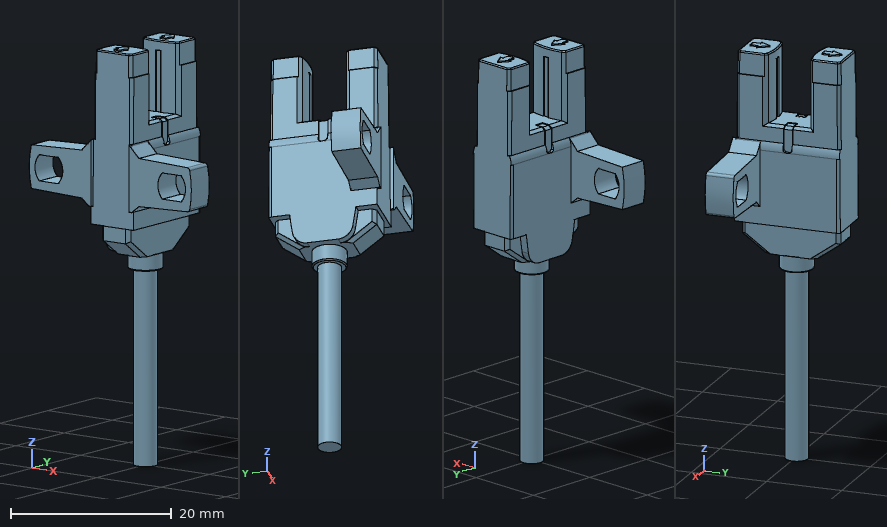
import cadquery as cq
import math


top_height = 53.55
arrow_relief = 0.15
tip_top = top_height - arrow_relief
tip_base = 50.45
fork_floor = 44.3
ledge_top = 42.05
ledge_base = 40.95
body_base = 31.25
clip_shoulder = 29.25
clip_base = 27.05
collar_base = 24.9

body_half_width = 3.3
body_half_depth = 7.0
body_corner_width = 0.15
body_corner_depth = 0.45
post_half_width = 3.0
tip_half_width = 2.85
tip_half_depth = 6.85
outer_chamfer = 0.4
gap_half = 2.5
gap_bulge = 0.3
gap_chamfer = 0.55
tip_gap_chamfer = gap_chamfer - (post_half_width - tip_half_width)
floor_chamfer_drop = 0.3
post_base = fork_floor - floor_chamfer_drop
tip_edge = 0.15

slit_width = 0.75
slit_depth = 0.15
slit_top = 52.1

groove_half_width = 0.6
groove_depth = 0.1
groove_inner_end = 1.35
cut_clearance = 0.55

ear_front = -7.4
ear_back = -3.65
ear_root = 2.95
ear_middle = 37.5
ear_half_span = 12.6
ear_corner = 12.25
ear_tip_half_height = 2.8
ear_knee = 4.45
ear_knee_half_height = 3.05
ear_gusset_base = 33.55
ear_corner_radius = 0.45
slot_center = 9.55
slot_half_length = 2.15
slot_flat_half = 1.45
slot_half_height = 1.65

clip_half_width = 2.2
clip_half_depth = 6.55
clip_bottom_half_depth = 3.5
clip_chamfer = 0.5
tab_top_half_depth = 4.3
tab_bottom_half_depth = 3.65
tab_corner_radius = 1.95
collar_diameter = 4.4
collar_edge = 0.15
cable_diameter = 3.0
cable_x = -0.05

arrow_length = 2.45
arrow_half_width = 0.9
arrow_stem_half = 0.5
arrow_stem_length = 1.0
arrow_centers = (-4.75, 4.75)


def drafted_half_depth(height):
    """Half depth of the tapering front and rear faces at a height."""
    taper = (body_half_depth - tip_half_depth) / (tip_top - body_base)
    return body_half_depth - taper * (height - body_base)


def prong_section(height, half_width, inner_chamfer):
    """Outline of one prong: chamfered corners and a convex inner face."""
    half_depth = drafted_half_depth(height)
    face_half = half_width - outer_chamfer
    inner_half = half_width - inner_chamfer
    inner_corner = gap_half + gap_bulge
    return (
        cq.Workplane("XY", origin=(0, 0, height))
        .moveTo(-face_half, half_depth)
        .lineTo(face_half, half_depth)
        .lineTo(half_width, half_depth - outer_chamfer)
        .lineTo(half_width, inner_corner + inner_chamfer)
        .lineTo(inner_half, inner_corner)
        .threePointArc((0, gap_half), (-inner_half, inner_corner))
        .lineTo(-half_width, inner_corner + inner_chamfer)
        .lineTo(-half_width, half_depth - outer_chamfer)
        .close()
        .wire()
        .val()
    )


def fork_base_section(height):
    """Outline of the fork below its gap: a rectangle with chamfered corners."""
    half_depth = drafted_half_depth(height)
    face_half = post_half_width - outer_chamfer
    side_half = half_depth - outer_chamfer
    return (
        cq.Workplane("XY", origin=(0, 0, height))
        .polyline([
            (-face_half, half_depth),
            (face_half, half_depth),
            (post_half_width, side_half),
            (post_half_width, -side_half),
            (face_half, -half_depth),
            (-face_half, -half_depth),
            (-post_half_width, -side_half),
            (-post_half_width, side_half),
        ])
        .close()
        .wire()
        .val()
    )


def loft(lower, upper):
    """Solid with straight sides between two outlines."""
    return cq.Workplane(cq.Solid.makeLoft([lower, upper], True))


def make_prong():
    """Prong on the +Y side: a post with a slightly narrower tip and a slit."""
    post = loft(
        prong_section(post_base, post_half_width, gap_chamfer),
        prong_section(tip_base, post_half_width, gap_chamfer),
    )
    tip = loft(
        prong_section(tip_base, tip_half_width, tip_gap_chamfer),
        prong_section(tip_top, tip_half_width, tip_gap_chamfer),
    )
    tip = tip.faces(">Z").chamfer(tip_edge)
    slit = cq.Workplane("XY").box(
        slit_width, gap_half + slit_depth, slit_top - fork_floor, centered=(True, False, False)
    )
    return post.union(tip).cut(slit.translate((0, 0, fork_floor)))


def make_fork():
    """Fork base, bevelled floor of the gap and two prongs."""
    floor_half_depth = gap_half + gap_bulge + gap_chamfer
    floor_half = post_half_width - gap_chamfer
    floor = (
        cq.Workplane("XZ", origin=(0, floor_half_depth, 0))
        .polyline([
            (-post_half_width, post_base),
            (post_half_width, post_base),
            (floor_half, fork_floor),
            (-floor_half, fork_floor),
        ])
        .close()
        .extrude(2 * floor_half_depth)
    )
    base = loft(fork_base_section(ledge_top), fork_base_section(post_base))
    prong = make_prong()
    return base.union(floor).union(prong).union(prong.mirror("XZ"))


def make_arrow(center):
    """Raised arrow pointing to +Y."""
    tail = center - arrow_length / 2
    neck = tail + arrow_stem_length
    return (
        cq.Workplane("XY", origin=(0, 0, tip_top))
        .polyline([
            (-arrow_stem_half, tail),
            (arrow_stem_half, tail),
            (arrow_stem_half, neck),
            (arrow_half_width, neck),
            (0, tail + arrow_length),
            (-arrow_half_width, neck),
            (-arrow_stem_half, neck),
        ])
        .close()
        .extrude(arrow_relief)
    )


def make_body():
    """Housing with rounded ledges and tapering front and rear faces."""
    ledge_width = body_half_width - post_half_width
    ledge_drop = ledge_top - ledge_base
    ledge_radius = (ledge_width**2 + ledge_drop**2) / (2 * ledge_width)
    half_angle = math.asin(ledge_drop / ledge_radius) / 2
    arc_x = body_half_width - ledge_radius * (1 - math.cos(half_angle))
    arc_z = ledge_base + ledge_radius * math.sin(half_angle)
    body = (
        cq.Workplane("XZ", origin=(0, body_half_depth, 0))
        .moveTo(-body_half_width, body_base)
        .lineTo(body_half_width, body_base)
        .lineTo(body_half_width, ledge_base)
        .threePointArc((arc_x, arc_z), (post_half_width, ledge_top))
        .lineTo(-post_half_width, ledge_top)
        .threePointArc((-arc_x, arc_z), (-body_half_width, ledge_base))
        .close()
        .extrude(2 * body_half_depth)
    )
    top_half_depth = drafted_half_depth(ledge_top)
    envelope = (
        cq.Workplane("YZ", origin=(-body_half_width, 0, 0))
        .polyline([
            (-body_half_depth, body_base),
            (body_half_depth, body_base),
            (top_half_depth, ledge_top),
            (-top_half_depth, ledge_top),
        ])
        .close()
        .extrude(2 * body_half_width)
    )
    body = body.intersect(envelope)
    for side in (-1, 1):
        body = body.cut(corner_bevel(side))
    return body


def corner_bevel(side):
    """Wedge that bevels one rear vertical edge of the housing."""
    return (
        cq.Workplane("XY", origin=(0, 0, body_base))
        .polyline([
            (side * body_half_width, body_half_depth - body_corner_depth),
            (side * body_half_width, body_half_depth),
            (side * (body_half_width - body_corner_width), body_half_depth),
        ])
        .close()
        .extrude(ledge_base - body_base)
    )


def make_groove(side):
    """Shallow groove that runs from the fork floor down one side to the ledge."""
    outside = side * (body_half_width + cut_clearance)
    floor_half = post_half_width - gap_chamfer
    floor = fork_floor - groove_depth
    wall = side * (post_half_width - groove_depth)
    return (
        cq.Workplane("XZ", origin=(0, groove_half_width, 0))
        .polyline([
            (side * groove_inner_end, fork_floor),
            (side * groove_inner_end, floor),
            (side * (floor_half - groove_depth), floor),
            (wall, floor - floor_chamfer_drop),
            (wall, ledge_base),
            (outside, ledge_base),
            (outside, fork_floor),
        ])
        .close()
        .extrude(2 * groove_half_width)
        .edges("|X and <Z")
        .chamfer(groove_half_width / 2)
    )


def make_ear(side):
    """Mounting ear with a curved end, root gussets and an elongated hole."""
    tip_top_z = ear_middle + ear_tip_half_height
    tip_base_z = ear_middle - ear_tip_half_height
    plate = (
        cq.Workplane("XZ", origin=(0, ear_back, 0))
        .moveTo(side * ear_root, ear_gusset_base)
        .lineTo(side * body_half_width, ear_gusset_base)
        .lineTo(side * ear_knee, ear_middle - ear_knee_half_height)
        .lineTo(side * ear_corner, tip_base_z)
        .threePointArc((side * ear_half_span, ear_middle), (side * ear_corner, tip_top_z))
        .lineTo(side * ear_knee, ear_middle + ear_knee_half_height)
        .lineTo(side * ear_root, ledge_top)
        .close()
        .extrude(ear_back - ear_front)
    )
    if side > 0:
        plate = plate.faces(">X").edges("|Y").fillet(ear_corner_radius)
    hole = (
        cq.Workplane("XZ", origin=(side * slot_center, ear_back, 0))
        .moveTo(-slot_flat_half, ear_middle - slot_half_height)
        .lineTo(slot_flat_half, ear_middle - slot_half_height)
        .threePointArc((slot_half_length, ear_middle), (slot_flat_half, ear_middle + slot_half_height))
        .lineTo(-slot_flat_half, ear_middle + slot_half_height)
        .threePointArc((-slot_half_length, ear_middle), (-slot_flat_half, ear_middle - slot_half_height))
        .close()
        .extrude(ear_back - ear_front)
    )
    return plate.cut(hole)


def make_clip():
    """Cable clip under the housing, with bevelled ends."""
    return (
        cq.Workplane("YZ", origin=(-clip_half_width, 0, 0))
        .polyline([
            (-clip_half_depth, body_base),
            (-clip_half_depth, clip_shoulder),
            (-clip_bottom_half_depth, clip_base),
            (clip_bottom_half_depth, clip_base),
            (clip_half_depth, clip_shoulder),
            (clip_half_depth, body_base),
        ])
        .close()
        .extrude(2 * clip_half_width)
        .faces("<X or >X")
        .edges("not(|Y)")
        .chamfer(clip_chamfer)
    )


def make_tab():
    """Tongue of the -X wall that reaches down over the clip."""
    return (
        cq.Workplane("YZ", origin=(-body_half_width, 0, 0))
        .polyline([
            (-tab_top_half_depth, body_base),
            (tab_top_half_depth, body_base),
            (tab_bottom_half_depth, clip_base),
            (-tab_bottom_half_depth, clip_base),
        ])
        .close()
        .extrude(body_half_width)
        .edges("|X and <Z")
        .fillet(tab_corner_radius)
    )


def make_cable():
    """Cable and the collar where it leaves the clip."""
    collar = (
        cq.Workplane("XY", origin=(cable_x, 0, collar_base))
        .circle(collar_diameter / 2)
        .extrude(clip_shoulder - collar_base)
        .faces("<Z")
        .chamfer(collar_edge)
    )
    cable = cq.Workplane("XY", origin=(cable_x, 0, 0)).circle(cable_diameter / 2).extrude(clip_shoulder)
    return collar.union(cable)


result = make_body().union(make_fork()).union(make_clip()).union(make_tab()).union(make_cable())
for side in (-1, 1):
    result = result.union(make_ear(side)).cut(make_groove(side))
for center in arrow_centers:
    result = result.union(make_arrow(center))
result = result.clean()